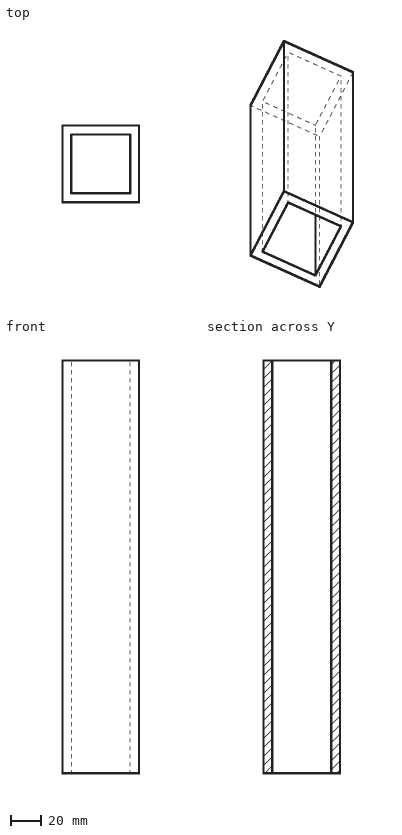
import cadquery as cq

length = 273.0
outer_side = 50.8
wall = 6.0
inner_side = outer_side - 2 * wall

result = (
    cq.Workplane("XY")
    .rect(outer_side, outer_side)
    .rect(inner_side, inner_side)
    .extrude(length)
)